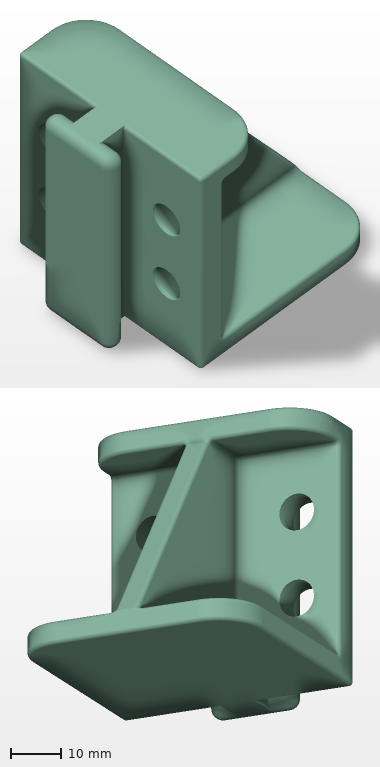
import cadquery as cq

body_width = 50.8
body_depth = 50.8
body_height = 53.95
top_flange_depth = 19.05
flange_thickness = 4.7
wall_thickness = 6.35
corner_radius = 9.5
edge_radius = 0.8

web_width = 5.1

overall_depth = 60.65
rail_width = 19.05
rail_thickness = 4.8
rail_radius = 2.3
neck_width = 7.7

hole_diameter = 7.65
hole_spacing_x = 31.8
hole_spacing_z = 18.0

rail_front = body_depth - overall_depth
rail_back = rail_front + rail_thickness
rail_middle = rail_front + rail_thickness / 2
underside = body_height - flange_thickness


def box_between(width, y_start, y_end, z_start, z_end):
    """Box centred on X = 0 between the given Y and Z limits."""
    size_y = y_end - y_start
    size_z = z_end - z_start
    block = cq.Workplane("XY").box(width, size_y, size_z, centered=(True, False, False))
    return block.translate((0, y_start, z_start))


def make_flange(depth, z_start):
    """Flange with its two rear corners rounded in plan."""
    plate = box_between(body_width, 0, depth, z_start, z_start + flange_thickness)
    return plate.edges("|Z and >Y").fillet(corner_radius)


def make_web():
    """Web whose sloping face joins the rear edges of the two flanges."""
    profile = [
        (wall_thickness, flange_thickness),
        (body_depth, flange_thickness),
        (top_flange_depth, underside),
        (wall_thickness, underside),
    ]
    return cq.Workplane("YZ").polyline(profile).close().extrude(web_width / 2, both=True)


def make_bracket():
    """Wall, flanges and web with all edges and inside corners rounded."""
    bracket = box_between(body_width, 0, wall_thickness, 0, body_height)
    bracket = bracket.union(make_flange(body_depth, 0))
    bracket = bracket.union(make_flange(top_flange_depth, underside))
    bracket = bracket.union(make_web())
    return bracket.edges().fillet(edge_radius)


def make_rail():
    """Fully rounded slide rail with the neck that joins it to the wall."""
    rail = box_between(rail_width, rail_front, rail_back, 0, body_height)
    rail = rail.edges().fillet(rail_radius)
    neck = box_between(neck_width, rail_middle, wall_thickness / 2, 0, body_height)
    return rail.union(neck)


def make_holes():
    """Four round cutters running through the wall along Y."""
    return (
        cq.Workplane("XZ", origin=(0, wall_thickness, body_height / 2))
        .rarray(hole_spacing_x, hole_spacing_z, 2, 2)
        .circle(hole_diameter / 2)
        .extrude(wall_thickness)
    )


result = make_bracket().union(make_rail()).cut(make_holes())